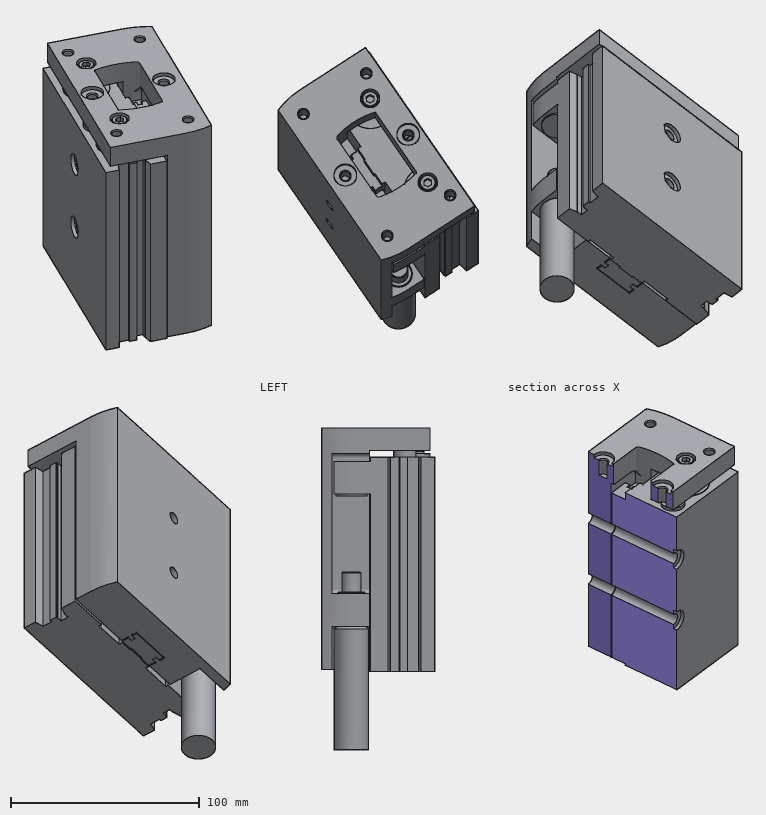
import cadquery as cq

WIDTH = 104.0
DEPTH = 60.0
HALF_WIDTH = WIDTH / 2

ARC_START_Y = 44.5
BACK_HALF_WIDTH = 49.2

HOUSING_HEIGHT = 113.5
HOUSING_BACK_Y = 34.0
GROOVE_FRONT_Y = 7.5
GROOVE_BACK_Y = 24.9
GROOVE_SLANT = 1.1
GROOVE_DEPTH = 3.7
GROOVE_RIB_FRONT_Y = 14.4
GROOVE_FRONT_STEP = 1.3
SLOT_FRONT_Y = 18.5
SLOT_LIP_DEPTH = 4.6
SLOT_DEPTH = 7.5
SLOT_STEP = 0.4
BACK_RELIEF_Y = 32.4
BACK_RELIEF_OUTER_X = 29.0
WEB_Y = 34.4
PAD_HALF_WIDTH = 4.8
PAD_Y = 35.0

RAIL_HALF_WIDTH = 11.6
RAIL_BACK_Y = 44.2
RAIL_BOTTOM_Z = 1.0
RAIL_TOP_Z = 109.2
TONGUE_TIP_X = 9.2
TONGUE_FRONT_Y = 38.7
TONGUE_BACK_Y = 41.2

EAR_TOP_Z = 111.3
EAR_BOTTOM_Z = 93.9
EAR_BACK_Y = 53.3
EAR_INNER_X = -32.0
STOP_PAD_DIAMETER = 16.4
STOP_PAD_HEIGHT = 1.0

MOUNT_HOLE_Z = (45.3, 85.3)
MOUNT_HOLE_DIAMETER = 6.5
MOUNT_BORE_DIAMETER = 12.0
MOUNT_BORE_DEPTH = 2.1

YOKE_TOP_Z = 129.0
YOKE_BOTTOM_Z = 117.0
YOKE_FRONT_Y = 2.5
SLIDE_BOTTOM_Z = 1.0
SLIDE_FRONT_Y = 34.5
CHANNEL_HALF_WIDTH = 12.3
CHANNEL_BACK_Y = 44.5
SIDE_WALL_Y = 54.4
SIDE_POCKET_X = -30.0
SIDE_POCKET_FILLET = 2.2
SIDE_POCKET_TOP_Z = 115.3
LUG_TOP_Z = 41.3
LUG_BOTTOM_Z = 23.8

WINDOW_FRONT_Y = 17.8
WINDOW_BACK_Y = 42.7
WINDOW_END_HALF_WIDTH = 19.8
WINDOW_MIDDLE_HALF_WIDTH = 21.5
WINDOW_CORNER_RADIUS = 1.5
UNDERCUT_HALF_WIDTH = 20.5
UNDERCUT_BOTTOM_Z = 104.0
UNDERCUT_TOP_Z = 115.2
UNDERCUT_CORNER_RADIUS = 6.5

YOKE_HOLE_Y = (10.0, 50.0)
YOKE_HOLE_X = 40.0
YOKE_HOLE_DIAMETER = 5.0
YOKE_HOLE_CHAMFER = 0.6
YOKE_BORE_DIAMETER = 12.0
YOKE_BORE_DEPTH = 2.1

PISTON_X = 27.5
PISTON_Y = 15.9
PISTON_DIAMETER = 12.0
PISTON_LENGTH = 60.0
GLAND_DIAMETER = 25.0
GLAND_DEPTH = 0.5
SCREW_SHANK_DIAMETER = 5.5
SCREW_BORE_DIAMETER = 10.2
SCREW_BORE_BOTTOM_Z = 123.0
SCREW_HEAD_DIAMETER = 8.5
SCREW_HEAD_TOP_Z = 128.2
SCREW_HEAD_CHAMFER = 0.4
SCREW_SOCKET_WIDTH = 4.0
SCREW_SOCKET_DEPTH = 2.5
HEXAGON_TURN = 30.0

ABSORBER_X = -42.1
ABSORBER_Y = 44.2
ABSORBER_DIAMETER = 18.2
ABSORBER_CHAMFER = 1.2
ABSORBER_BOTTOM_Z = -41.5
ABSORBER_NECK_DIAMETER = 14.6
ABSORBER_NECK_TOP_Z = 42.0
ABSORBER_NECK_CHAMFER = 0.5
PLUNGER_DIAMETER = 10.2
PLUNGER_TOP_Z = 52.6
PLUNGER_CHAMFER = 0.5

BUMPER_X = 8.0
BUMPER_Y = 9.0
BUMPER_BASE_DIAMETER = 12.92
BUMPER_BASE_HEIGHT = 1.9
BUMPER_KNOB_DIAMETER = 6.65
BUMPER_CHAMFER = 0.5


def block(x_range, y_range, z_range):
    """Axis-aligned box between the given limits."""
    size = [limits[1] - limits[0] for limits in (x_range, y_range, z_range)]
    corner = (x_range[0], y_range[0], z_range[0])
    return cq.Workplane("XY").box(*size, centered=False).translate(corner)


def cylinder(x, y, diameter, z_bottom, z_top):
    """Upright cylinder."""
    return cq.Workplane("XY", origin=(x, y, z_bottom)).circle(diameter / 2).extrude(z_top - z_bottom)


def rounded_body(z_range):
    """Full-size outline whose sides curve inward towards the back."""
    rise = DEPTH - ARC_START_Y
    inset = HALF_WIDTH - BACK_HALF_WIDTH
    radius = (rise**2 + inset**2) / (2 * inset)
    half_rise = rise / 2
    middle_x = HALF_WIDTH - radius + (radius**2 - half_rise**2) ** 0.5
    middle_y = ARC_START_Y + half_rise
    return (
        cq.Workplane("XY", origin=(0, 0, z_range[0]))
        .moveTo(-HALF_WIDTH, 0)
        .lineTo(HALF_WIDTH, 0)
        .lineTo(HALF_WIDTH, ARC_START_Y)
        .threePointArc((middle_x, middle_y), (BACK_HALF_WIDTH, DEPTH))
        .lineTo(-BACK_HALF_WIDTH, DEPTH)
        .threePointArc((-middle_x, middle_y), (-HALF_WIDTH, ARC_START_Y))
        .close()
        .extrude(z_range[1] - z_range[0])
    )


def mounting_holes(diameter, y_range):
    """Holes along Y, one above the other in the middle of the unit."""
    points = [(0, z) for z in MOUNT_HOLE_Z]
    return (
        cq.Workplane("XZ", origin=(0, y_range[0], 0))
        .pushPoints(points)
        .circle(diameter / 2)
        .extrude(-(y_range[1] - y_range[0]))
    )


def side_groove():
    """Profiled groove along the housing's left side: a slanted recess with a stepped sensor slot."""
    floor_x = -HALF_WIDTH + GROOVE_DEPTH
    step_x = floor_x + GROOVE_FRONT_STEP
    slot_x = -HALF_WIDTH + SLOT_DEPTH
    lip_x = -HALF_WIDTH + SLOT_LIP_DEPTH
    slant_back_y = GROOVE_BACK_Y - GROOVE_SLANT
    points = [
        (-HALF_WIDTH, GROOVE_FRONT_Y),
        (step_x, GROOVE_FRONT_Y + GROOVE_SLANT),
        (step_x, GROOVE_RIB_FRONT_Y),
        (floor_x, GROOVE_RIB_FRONT_Y),
        (floor_x, SLOT_FRONT_Y),
        (lip_x, SLOT_FRONT_Y),
        (lip_x, SLOT_FRONT_Y + SLOT_STEP),
        (slot_x, SLOT_FRONT_Y + SLOT_STEP),
        (slot_x, slant_back_y - SLOT_STEP),
        (lip_x, slant_back_y - SLOT_STEP),
        (lip_x, slant_back_y),
        (floor_x, slant_back_y),
        (-HALF_WIDTH, GROOVE_BACK_Y),
    ]
    return cq.Workplane("XY").polyline(points).close().extrude(HOUSING_HEIGHT)


def tongues(top_z):
    """The two strips that run in the rail's side grooves."""
    right = block(
        (TONGUE_TIP_X, CHANNEL_HALF_WIDTH), (TONGUE_FRONT_Y, TONGUE_BACK_Y), (RAIL_BOTTOM_Z, top_z)
    )
    return right, right.mirror("YZ")


def stop_ear():
    """Ear on the housing's left that the shock absorber runs against, with a round pad below."""
    ear = rounded_body((EAR_BOTTOM_Z, EAR_TOP_Z)).intersect(
        block((-HALF_WIDTH, EAR_INNER_X), (BACK_RELIEF_Y, EAR_BACK_Y), (EAR_BOTTOM_Z, EAR_TOP_Z))
    )
    pad = cylinder(ABSORBER_X, ABSORBER_Y, STOP_PAD_DIAMETER, EAR_BOTTOM_Z - STOP_PAD_HEIGHT, EAR_BOTTOM_Z)
    return ear.union(pad)


def make_housing():
    full_height = (0, HOUSING_HEIGHT)
    body = block((-HALF_WIDTH, HALF_WIDTH), (0, HOUSING_BACK_Y), full_height)
    for side in (-1, 1):
        relief_x = sorted((side * RAIL_HALF_WIDTH, side * BACK_RELIEF_OUTER_X))
        body = body.cut(block(relief_x, (BACK_RELIEF_Y, HOUSING_BACK_Y), full_height))
    groove = side_groove()
    body = body.cut(groove).cut(groove.mirror("YZ"))

    web = block((-RAIL_HALF_WIDTH, RAIL_HALF_WIDTH), (BACK_RELIEF_Y, WEB_Y), full_height)
    pad = block((-PAD_HALF_WIDTH, PAD_HALF_WIDTH), (BACK_RELIEF_Y, PAD_Y), full_height)
    rail = block(
        (-RAIL_HALF_WIDTH, RAIL_HALF_WIDTH), (BACK_RELIEF_Y, RAIL_BACK_Y), (RAIL_BOTTOM_Z, RAIL_TOP_Z)
    )
    body = body.union(web).union(pad).union(rail).union(stop_ear())
    for tongue in tongues(RAIL_TOP_Z):
        body = body.cut(tongue)

    body = body.cut(mounting_holes(MOUNT_HOLE_DIAMETER, (0, DEPTH)))
    body = body.cut(mounting_holes(MOUNT_BORE_DIAMETER, (0, MOUNT_BORE_DEPTH)))
    for x in (-PISTON_X, PISTON_X):
        gland = cylinder(x, PISTON_Y, GLAND_DIAMETER, HOUSING_HEIGHT - GLAND_DEPTH, HOUSING_HEIGHT)
        bore = cylinder(x, PISTON_Y, PISTON_DIAMETER, YOKE_BOTTOM_Z - PISTON_LENGTH, HOUSING_HEIGHT)
        body = body.cut(gland).cut(bore)
    return body


def yoke_window():
    """Opening with bowed sides through the yoke, down to the top of the slide's guide."""
    middle_y = (WINDOW_FRONT_Y + WINDOW_BACK_Y) / 2
    window = (
        cq.Workplane("XY", origin=(0, 0, UNDERCUT_BOTTOM_Z))
        .moveTo(-WINDOW_END_HALF_WIDTH, WINDOW_FRONT_Y)
        .lineTo(WINDOW_END_HALF_WIDTH, WINDOW_FRONT_Y)
        .threePointArc((WINDOW_MIDDLE_HALF_WIDTH, middle_y), (WINDOW_END_HALF_WIDTH, WINDOW_BACK_Y))
        .lineTo(-WINDOW_END_HALF_WIDTH, WINDOW_BACK_Y)
        .threePointArc((-WINDOW_MIDDLE_HALF_WIDTH, middle_y), (-WINDOW_END_HALF_WIDTH, WINDOW_FRONT_Y))
        .close()
        .extrude(YOKE_TOP_Z - UNDERCUT_BOTTOM_Z)
        .edges("|Z and >Y")
        .fillet(WINDOW_CORNER_RADIUS)
    )
    undercut = block(
        (-UNDERCUT_HALF_WIDTH, UNDERCUT_HALF_WIDTH),
        (SLIDE_FRONT_Y, CHANNEL_BACK_Y),
        (UNDERCUT_BOTTOM_Z, UNDERCUT_TOP_Z),
    )
    return window.union(undercut.edges("|Y and >Z").fillet(UNDERCUT_CORNER_RADIUS))


def side_pocket(z_range, filleted_edges):
    """Pocket in the slide's left side, rounded where its inner wall meets the lug or yoke."""
    pocket = block((-HALF_WIDTH, SIDE_POCKET_X), (SLIDE_FRONT_Y, SIDE_WALL_Y), z_range)
    return pocket.edges(filleted_edges).fillet(SIDE_POCKET_FILLET)


def cut_yoke_holes(body):
    """Chamfered holes in the corners and, counterbored, in the middle, and those for the piston screws."""
    for y in YOKE_HOLE_Y:
        for x in (-YOKE_HOLE_X, 0, YOKE_HOLE_X):
            rim_z = YOKE_TOP_Z
            if x == 0:
                rim_z = YOKE_TOP_Z - YOKE_BORE_DEPTH
                body = body.cut(cylinder(x, y, YOKE_BORE_DIAMETER, rim_z, YOKE_TOP_Z))
            rim = cq.Solid.makeCone(
                YOKE_HOLE_DIAMETER / 2,
                YOKE_HOLE_DIAMETER / 2 + YOKE_HOLE_CHAMFER,
                YOKE_HOLE_CHAMFER,
                cq.Vector(x, y, rim_z - YOKE_HOLE_CHAMFER),
            )
            body = body.cut(cylinder(x, y, YOKE_HOLE_DIAMETER, YOKE_BOTTOM_Z, rim_z)).cut(cq.Workplane(rim))
    for x in (-PISTON_X, PISTON_X):
        body = body.cut(cylinder(x, PISTON_Y, SCREW_SHANK_DIAMETER, YOKE_BOTTOM_Z, YOKE_TOP_Z))
        body = body.cut(cylinder(x, PISTON_Y, SCREW_BORE_DIAMETER, SCREW_BORE_BOTTOM_Z, YOKE_TOP_Z))
    return body


def make_slide():
    body = rounded_body((SLIDE_BOTTOM_Z, YOKE_TOP_Z))
    across = (-HALF_WIDTH, HALF_WIDTH)
    body = body.cut(block(across, (0, SLIDE_FRONT_Y), (SLIDE_BOTTOM_Z, YOKE_BOTTOM_Z)))
    body = body.cut(block(across, (0, YOKE_FRONT_Y), (SLIDE_BOTTOM_Z, YOKE_TOP_Z)))

    channel_x = (-CHANNEL_HALF_WIDTH, CHANNEL_HALF_WIDTH)
    body = body.cut(block(channel_x, (SLIDE_FRONT_Y, CHANNEL_BACK_Y), (SLIDE_BOTTOM_Z, UNDERCUT_BOTTOM_Z)))
    for tongue in tongues(UNDERCUT_BOTTOM_Z):
        body = body.union(tongue)

    body = body.cut(side_pocket((LUG_TOP_Z, SIDE_POCKET_TOP_Z), "|Y and >X"))
    body = body.cut(side_pocket((SLIDE_BOTTOM_Z, LUG_BOTTOM_Z), "|Y and >X and >Z"))
    body = body.cut(cylinder(ABSORBER_X, ABSORBER_Y, ABSORBER_NECK_DIAMETER, LUG_BOTTOM_Z, LUG_TOP_Z))

    body = body.cut(yoke_window())
    body = cut_yoke_holes(body)
    return body.cut(mounting_holes(MOUNT_HOLE_DIAMETER, (SLIDE_FRONT_Y, DEPTH)))


def make_piston(x):
    """Piston rod in its bore, with the socket screw that passes through the yoke."""
    rod = cylinder(x, PISTON_Y, PISTON_DIAMETER, YOKE_BOTTOM_Z - PISTON_LENGTH, YOKE_BOTTOM_Z)
    shank = cylinder(x, PISTON_Y, SCREW_SHANK_DIAMETER, YOKE_BOTTOM_Z, SCREW_BORE_BOTTOM_Z)
    head = cylinder(x, PISTON_Y, SCREW_HEAD_DIAMETER, SCREW_BORE_BOTTOM_Z, SCREW_HEAD_TOP_Z)
    head = head.faces(">Z").chamfer(SCREW_HEAD_CHAMFER)
    across_corners = SCREW_SOCKET_WIDTH * 2 / 3**0.5
    socket = (
        cq.Workplane("XY", origin=(x, PISTON_Y, SCREW_HEAD_TOP_Z))
        .transformed(rotate=(0, 0, HEXAGON_TURN))
        .polygon(6, across_corners)
        .extrude(-SCREW_SOCKET_DEPTH)
    )
    return rod.union(shank).union(head).cut(socket)


def make_absorber():
    sleeve = cylinder(ABSORBER_X, ABSORBER_Y, ABSORBER_DIAMETER, ABSORBER_BOTTOM_Z, LUG_BOTTOM_Z)
    sleeve = sleeve.faces(">Z").chamfer(ABSORBER_CHAMFER)
    neck = cylinder(ABSORBER_X, ABSORBER_Y, ABSORBER_NECK_DIAMETER, LUG_BOTTOM_Z, ABSORBER_NECK_TOP_Z)
    neck = neck.faces(">Z").chamfer(ABSORBER_NECK_CHAMFER)
    plunger = cylinder(ABSORBER_X, ABSORBER_Y, PLUNGER_DIAMETER, ABSORBER_NECK_TOP_Z, PLUNGER_TOP_Z)
    plunger = plunger.faces(">Z").chamfer(PLUNGER_CHAMFER)
    return sleeve.union(neck).union(plunger)


def make_bumper():
    base_top_z = HOUSING_HEIGHT + BUMPER_BASE_HEIGHT
    base = cylinder(BUMPER_X, BUMPER_Y, BUMPER_BASE_DIAMETER, HOUSING_HEIGHT, base_top_z)
    knob = cylinder(BUMPER_X, BUMPER_Y, BUMPER_KNOB_DIAMETER, base_top_z, YOKE_BOTTOM_Z)
    return base.union(knob.faces(">Z").chamfer(BUMPER_CHAMFER))


housing = make_housing()
slide = make_slide()
absorber = make_absorber()
bumper = make_bumper()
pistons = [make_piston(x) for x in (-PISTON_X, PISTON_X)]

result = cq.Compound.makeCompound(
    [housing.val(), slide.val(), absorber.val(), bumper.val(), *[piston.val() for piston in pistons]]
)